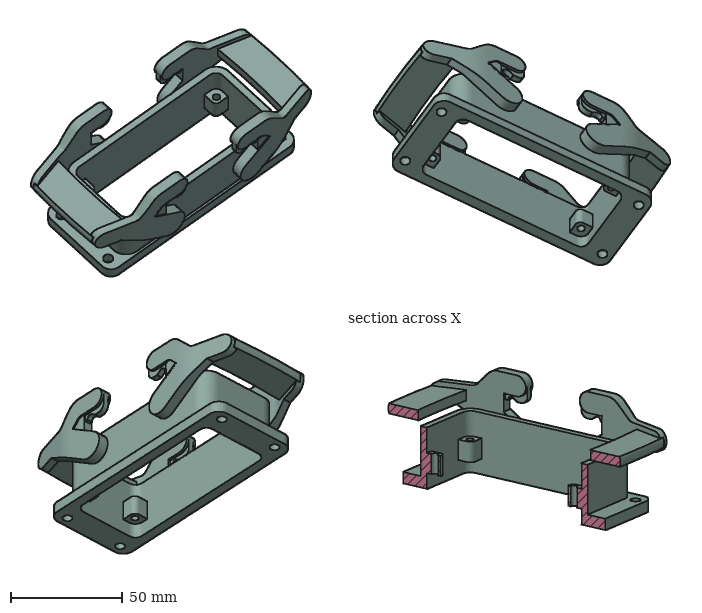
import cadquery as cq
import math

base_width = 45.6
base_length = 112.8
base_height = 5.6
base_corner_radius = 5.4
mount_hole_diameter = 4.5
mount_hole_spacing_x = 32.0
mount_hole_spacing_y = 103.0

housing_width = 43.0
housing_length = 93.2
housing_top = 29.2
housing_corner_radius = 7.5
wall = 3.6
cavity_width = housing_width - 2 * wall
cavity_length = housing_length - 2 * wall
cavity_corner_radius = housing_corner_radius - wall

boss_inner_x = 10.2
boss_inner_y = 35.5
boss_bottom = 7.5
boss_top = 17.2
boss_corner_radius = 2.5
boss_hole_x = 13.4
boss_hole_y = 38.8
boss_hole_diameter = 3.4

arm_outer_x = 28.5
arm_thickness = 5.25
arm_inner_x = arm_outer_x - arm_thickness
bend_angle = 15.0
outer_bend_y = 40.1
outer_bend_radius = 35.0
inner_bend_y = 44.7
inner_bend_radius = 13.0
lever_tip_y = 65.205

overall_height = 48.6
pivot_y = 23.5
pivot_z = 19.4
pivot_eye_radius = 6.85
pivot_pin_diameter = 5.2
leg_angle = 32.0
handle_radius = 5.0
handle_y = 59.5
handle_z = 34.0
hook_radius = 5.0
hook_tip_y = 15.0
hook_y = hook_tip_y + hook_radius
hook_z = overall_height - hook_radius
shoulder_y = 33.8
shoulder_radius = 8.0
heel_radius = 4.0
throat_y = 34.35
throat_roof_y = 30.1
throat_radius = 3.0

web_front_y = 27.3
web_back_y = 35.1
web_back_bottom = 29.0
web_thickness = 4.7

nose_thickness = 2.8
nose_bottom = 35.4
nose_radius = 3.5
notch_y = 23.9
notch_radius = 1.9
notch_exit_y = 20.6

plate_thickness = 5.0
plate_inner_y = 48.25
plate_bow_radius = 350.0


def rounded_block(width, length, height, radius):
    """Upright block centred on the Z axis with rounded vertical edges."""
    return cq.Workplane("XY").rect(width, length).extrude(height).edges("|Z").fillet(radius)


def make_housing():
    flange = (
        rounded_block(base_width, base_length, base_height, base_corner_radius)
        .faces(">Z").workplane()
        .rect(mount_hole_spacing_x, mount_hole_spacing_y, forConstruction=True)
        .vertices().hole(mount_hole_diameter)
    )
    shell = rounded_block(housing_width, housing_length, housing_top, housing_corner_radius)
    cavity = rounded_block(cavity_width, cavity_length, housing_top, cavity_corner_radius)
    return flange.union(shell).cut(cavity)


def make_boss():
    """Screw boss in the +X +Y corner, reaching halfway into the housing wall."""
    size_x = cavity_width / 2 + wall / 2 - boss_inner_x
    size_y = cavity_length / 2 + wall / 2 - boss_inner_y
    block = (
        cq.Workplane("XY", origin=(boss_inner_x, boss_inner_y, boss_bottom))
        .rect(size_x, size_y, centered=False)
        .extrude(boss_top - boss_bottom)
        .edges("|Z and <X and <Y").fillet(boss_corner_radius)
    )
    envelope = rounded_block(housing_width, housing_length, housing_top, housing_corner_radius)
    block = block.intersect(envelope)
    bore = (
        cq.Workplane("XY", origin=(boss_hole_x, boss_hole_y, 0))
        .circle(boss_hole_diameter / 2).extrude(boss_top)
    )
    return block.cut(bore)


def bend_points(x, corner_y, radius):
    """Start and end of the arc that turns a line along Y inward by the bend angle."""
    bend = math.radians(bend_angle)
    tangent = radius * math.tan(bend / 2)
    start = (x, corner_y - tangent)
    end = (x - tangent * math.sin(bend), corner_y + tangent * math.cos(bend))
    return start, end


def slanted_x(x, corner_y, y):
    """X of a slanted arm face at the given Y beyond its bend."""
    return x - (y - corner_y) * math.tan(math.radians(bend_angle))


def arm_plan():
    """Bent strip seen from above, tall enough to hold the whole arm."""
    outer_start, outer_end = bend_points(arm_outer_x, outer_bend_y, outer_bend_radius)
    inner_start, inner_end = bend_points(arm_inner_x, inner_bend_y, inner_bend_radius)
    return (
        cq.Workplane("XY")
        .moveTo(arm_outer_x, 0)
        .lineTo(*outer_start)
        .tangentArcPoint(outer_end, relative=False)
        .lineTo(slanted_x(arm_outer_x, outer_bend_y, lever_tip_y), lever_tip_y)
        .lineTo(slanted_x(arm_inner_x, inner_bend_y, lever_tip_y), lever_tip_y)
        .lineTo(*inner_end)
        .tangentArcPoint(inner_start, relative=False)
        .lineTo(arm_inner_x, 0)
        .close()
        .extrude(overall_height)
    )


def edge_at(y, z):
    """Selector for the X-direction edge passing through the given Y, Z."""
    margin = 0.1
    return cq.selectors.BoxSelector(
        (0, y - margin, z - margin), (arm_outer_x, y + margin, z + margin)
    )


def arm_profile():
    """Side outline of the arm, extruded along X: eye, leg, hook and handle end."""
    leg = math.radians(leg_angle)
    leg_slope = math.tan(leg)
    eye_offset_y = pivot_eye_radius * math.sin(leg)
    eye_offset_z = pivot_eye_radius * math.cos(leg)
    leg_upper = (pivot_y - eye_offset_y, pivot_z + eye_offset_z)
    leg_lower = (pivot_y + eye_offset_y, pivot_z - eye_offset_z)
    eye_far = (pivot_y - pivot_eye_radius * math.cos(leg), pivot_z - pivot_eye_radius * math.sin(leg))
    handle_top = handle_z + handle_radius
    handle_bottom = handle_z - handle_radius
    heel_y = shoulder_y + overall_height - handle_top
    underside_y = leg_lower[0] + (handle_bottom - leg_lower[1]) / leg_slope
    throat_z = leg_upper[1] + (throat_y - leg_upper[0]) * leg_slope
    hook_bottom = hook_z - hook_radius
    body = (
        cq.Workplane("YZ")
        .moveTo(hook_y, overall_height)
        .lineTo(shoulder_y, overall_height)
        .lineTo(heel_y, handle_top)
        .lineTo(handle_y, handle_top)
        .threePointArc((handle_y + handle_radius, handle_z), (handle_y, handle_bottom))
        .lineTo(underside_y, handle_bottom)
        .lineTo(*leg_lower)
        .threePointArc(eye_far, leg_upper)
        .lineTo(throat_y, throat_z)
        .lineTo(throat_roof_y, hook_bottom)
        .lineTo(hook_y, hook_bottom)
        .threePointArc((hook_tip_y, hook_z), (hook_y, overall_height))
        .close()
        .extrude(arm_outer_x)
    )
    body = body.edges(edge_at(shoulder_y, overall_height)).fillet(shoulder_radius)
    body = body.edges(edge_at(heel_y, handle_top)).fillet(heel_radius)
    return body.edges(edge_at(throat_roof_y, hook_bottom)).fillet(throat_radius)


def make_web():
    """Plate flush with the inner arm face that squares off the throat."""
    return (
        cq.Workplane("YZ", origin=(arm_inner_x, 0, 0))
        .moveTo(web_front_y, pivot_z)
        .lineTo(web_back_y, web_back_bottom)
        .lineTo(web_back_y, hook_z)
        .lineTo(web_front_y, hook_z)
        .close()
        .extrude(web_thickness)
    )


def make_nose():
    """Thin latch nose, centred in the arm thickness, with a round notch."""
    nose_centre_y = hook_tip_y + nose_radius
    nose_centre_z = nose_bottom + nose_radius
    corner = nose_radius * math.sqrt(0.5)
    notch_side = notch_radius * math.sqrt(0.5)
    return (
        cq.Workplane("YZ", origin=(arm_inner_x + (arm_thickness - nose_thickness) / 2, 0, 0))
        .moveTo(hook_tip_y, hook_z)
        .lineTo(hook_tip_y, nose_centre_z)
        .threePointArc((nose_centre_y - corner, nose_centre_z - corner), (nose_centre_y, nose_bottom))
        .lineTo(notch_exit_y, nose_bottom)
        .lineTo(notch_y - notch_side, nose_bottom + notch_side)
        .threePointArc((notch_y, nose_bottom + notch_radius), (notch_y + notch_radius, nose_bottom))
        .lineTo(web_front_y, nose_bottom)
        .lineTo(web_front_y, hook_z)
        .close()
        .extrude(nose_thickness)
    )


def make_pin():
    """Pivot pin from the housing wall into the eye of the arm."""
    pin_start_x = (housing_width - wall) / 2
    pin_end_x = arm_inner_x + arm_thickness / 2
    return (
        cq.Workplane("YZ", origin=(pin_start_x, pivot_y, pivot_z))
        .circle(pivot_pin_diameter / 2).extrude(pin_end_x - pin_start_x)
    )


def make_arm():
    arm = arm_plan().intersect(arm_profile())
    return arm.union(make_web()).union(make_nose()).union(make_pin())


def arm_middle_x(y):
    """X midway through the slanted part of the arm at the given Y."""
    outer = slanted_x(arm_outer_x, outer_bend_y, y)
    inner = slanted_x(arm_inner_x, inner_bend_y, y)
    return (outer + inner) / 2


def make_plate():
    """Slightly bowed plate with a rounded outer edge, ending inside the two arms."""
    half = plate_thickness / 2
    edge_setback = handle_radius - math.sqrt(handle_radius**2 - half**2)
    bow_centre_y = lever_tip_y - plate_bow_radius
    bowed = (
        cq.Workplane("YZ")
        .moveTo(plate_inner_y, handle_z - half)
        .lineTo(lever_tip_y - edge_setback, handle_z - half)
        .threePointArc((lever_tip_y, handle_z), (lever_tip_y - edge_setback, handle_z + half))
        .lineTo(plate_inner_y, handle_z + half)
        .close()
        .revolve(360, (bow_centre_y, 0, 0), (bow_centre_y, 1, 0))
    )
    near_y = inner_bend_y
    near_x = arm_middle_x(near_y)
    far_x = arm_middle_x(lever_tip_y)
    trim = (
        cq.Workplane("XY")
        .moveTo(-near_x, near_y)
        .lineTo(near_x, near_y)
        .lineTo(far_x, lever_tip_y)
        .lineTo(-far_x, lever_tip_y)
        .close()
        .extrude(overall_height)
    )
    return bowed.intersect(trim)


def make_lever():
    """Lever at the +Y end: two mirrored arms joined by the handle plate."""
    arm = make_arm()
    return arm.union(arm.mirror("YZ")).union(make_plate())


result = make_housing()

boss = make_boss()
boss_pair = boss.union(boss.mirror("YZ"))
lever = make_lever()
for end_feature in (boss_pair, lever):
    result = result.union(end_feature).union(end_feature.mirror("XZ"))